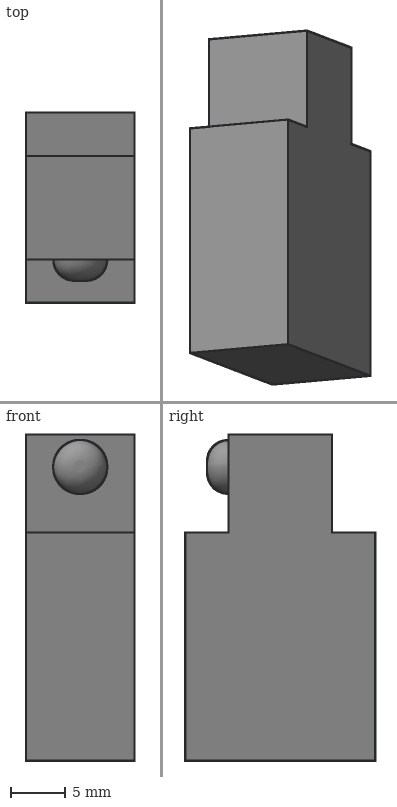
import cadquery as cq

width = 10.0
body_depth = 17.5
total_height = 30.0
body_height = 21.0

shoulder = 4.0
head_depth = body_depth - 2 * shoulder
head_front = -head_depth / 2

button_radius = 2.5
button_tip_radius = 0.5
button_round = button_radius - button_tip_radius
button_length = button_round
button_drop = 3.0
button_z = total_height - button_drop


def make_block(depth, height):
    return cq.Workplane("XY").box(width, depth, height, centered=(True, True, False))


def make_button():
    """Revolve a quarter-round profile with a small flat tip about the Y axis."""
    diagonal = button_round * 0.5 ** 0.5
    profile = (
        cq.Workplane("XY")
        .lineTo(button_radius, 0)
        .threePointArc(
            (button_tip_radius + diagonal, -diagonal),
            (button_tip_radius, -button_length),
        )
        .lineTo(0, -button_length)
        .close()
    )
    button = profile.revolve(360, (0, 0), (0, 1))
    return button.translate((0, head_front, button_z))


body = make_block(body_depth, body_height)
head = make_block(head_depth, total_height)
result = body.union(head).union(make_button())